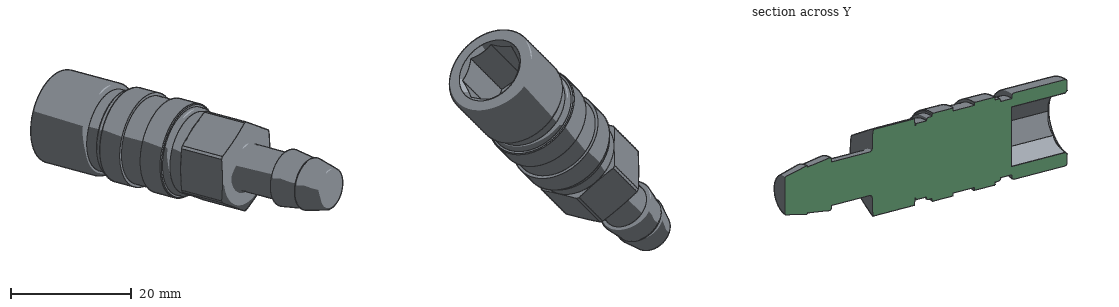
import cadquery as cq
import math


sleeve_end = 10.85
collar_start = 12.95
grip_start = 14.05
ring_width = 4.15
ring_gap = 4.1
grip_end = grip_start + 2 * ring_width + ring_gap
collar_end = grip_end + (grip_start - collar_start)
hex_start = 29.6
hex_end = 38.1
first_barb_start = 46.0
second_barb_start = 50.6
total_length = 55.15

sleeve_diameter = 15.9
neck_diameter = 14.0
collar_diameter = 15.1
ring_diameter = 16.15
stem_diameter = 8.05
first_barb_diameter = 9.85
first_barb_small_diameter = 8.55
second_barb_diameter = 9.15
tip_diameter = 7.0

sleeve_radius = 0.55
edge_radius = 0.5
ring_chamfer = 0.15
barb_radius = 0.4
tip_radius = 0.4

hex_sides = 6
hex_across_flats = neck_diameter
hex_corner_diameter = sleeve_diameter
hex_face_diameter = 13.25
hex_chamfer_angle = 10

socket_corner_diameter = 10.8
socket_sides = 8
socket_depth = sleeve_end
mouth_diameter = 11.6
mouth_angle = 45


def cylinder(start, end, diameter):
    """Solid cylinder along X between two stations."""
    return cq.Workplane("YZ", origin=(start, 0, 0)).circle(diameter / 2).extrude(end - start)


def revolved(points):
    """Solid of revolution about X from (x, radius) points."""
    return cq.Workplane("XY").polyline(points).close().revolve(360, (0, 0, 0), (1, 0, 0))


def frustum(start, end, start_diameter, end_diameter):
    """Solid cone section along X between two stations."""
    return revolved([(start, 0), (start, start_diameter / 2), (end, end_diameter / 2), (end, 0)])


def make_sleeve():
    """Sliding sleeve with rounded rims."""
    return cylinder(0, sleeve_end, sleeve_diameter).edges().fillet(sleeve_radius)


def make_grip():
    """Round-edged collar that carries two raised rings."""
    grip = cylinder(collar_start, collar_end, collar_diameter).edges().fillet(edge_radius)
    first_ring = cylinder(grip_start, grip_start + ring_width, ring_diameter)
    second_ring = cylinder(grip_end - ring_width, grip_end, ring_diameter)
    grip = grip.union(first_ring.faces("<X").edges().chamfer(ring_chamfer))
    return grip.union(second_ring.faces(">X").edges().chamfer(ring_chamfer))


def make_hexagon():
    """Hexagon with corners up and down, turned down at the corners and at both ends."""
    corner_radius = hex_corner_diameter / 2
    face_radius = hex_face_diameter / 2
    chamfer_length = (corner_radius - face_radius) * math.tan(math.radians(hex_chamfer_angle))
    envelope = revolved([
        (hex_start, 0),
        (hex_start, face_radius),
        (hex_start + chamfer_length, corner_radius),
        (hex_end - chamfer_length, corner_radius),
        (hex_end, face_radius),
        (hex_end, 0),
    ])
    across_corners = hex_across_flats / math.cos(math.pi / hex_sides)
    prism = (
        cq.Workplane("YZ", origin=(hex_start, 0, 0))
        .transformed(rotate=(0, 0, 90))
        .polygon(hex_sides, across_corners)
        .extrude(hex_end - hex_start)
    )
    return prism.intersect(envelope)


def make_hose_tail():
    """Stem with a flared root and two barbs that taper towards the tip."""
    root = stem_diameter / 2
    flare = (
        cq.Workplane("XY")
        .moveTo(hex_end, 0)
        .lineTo(hex_end, root + edge_radius)
        .radiusArc((hex_end + edge_radius, root), -edge_radius)
        .lineTo(hex_end + edge_radius, 0)
        .close()
        .revolve(360, (0, 0, 0), (1, 0, 0))
    )
    stem = cylinder(hex_end, second_barb_start, stem_diameter)
    first_barb = frustum(first_barb_start, second_barb_start, first_barb_diameter, first_barb_small_diameter)
    second_barb = frustum(second_barb_start, total_length, second_barb_diameter, tip_diameter)
    first_barb = first_barb.faces("<X").edges().fillet(barb_radius)
    second_barb = second_barb.faces("<X").edges().fillet(barb_radius)
    second_barb = second_barb.faces(">X").edges().fillet(tip_radius)
    return stem.union(flare).union(first_barb).union(second_barb)


def make_socket():
    """Blind octagonal hole with corners on the Y and Z axes, opened by a conical mouth."""
    octagon = (
        cq.Workplane("YZ")
        .polygon(socket_sides, socket_corner_diameter)
        .extrude(socket_depth)
    )
    mouth_radius = mouth_diameter / 2
    cone_length = mouth_radius / math.tan(math.radians(mouth_angle))
    cone = revolved([(0, 0), (0, mouth_radius), (cone_length, 0)])
    return octagon.union(cone)


result = (
    make_sleeve()
    .union(cylinder(sleeve_end - sleeve_radius, hex_start, neck_diameter))
    .union(make_grip())
    .union(make_hexagon())
    .union(make_hose_tail())
    .cut(make_socket())
)